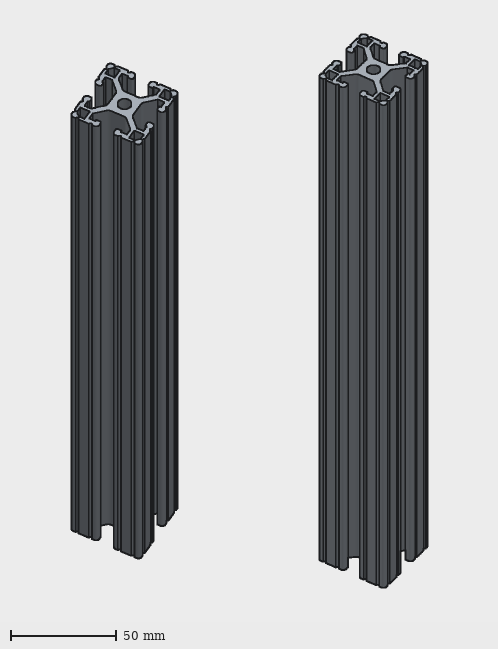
import cadquery as cq

side = 38.1
length = 304.8
half_side = side / 2
corner_radius = 1.75

bore_diameter = 6.65
core_half = 6.9

slot_mouth_half = 4.06
slot_inner_half = 10.25
lip_half = 6.9
lip_thickness = 3.9
lip_inner_radius = 0.8
flange_thickness = 3.0
lip_inner_height = half_side - lip_thickness
flange_inner_height = half_side - flange_thickness
web_half_thickness = 1.6
web_root_radius = 2.7
web_offset = web_half_thickness * 2 ** 0.5

cavity_inner = 12.15
cavity_outer = 17.3
cavity_chamfer = 2.0

groove_centres = (7.9, 15.25)
groove_radius = 0.8

face_angles = (0, 90, 180, 270)


def make_bar():
    """Plain square bar standing on the XY plane."""
    return cq.Workplane("XY").rect(side, side).extrude(length)


def round_edge(body, x, y, radius):
    """Round the lengthwise edge at (x, y) and its mirror images about both axes."""
    for sign_x in (1, -1):
        for sign_y in (1, -1):
            nearest = cq.selectors.NearestToPointSelector((sign_x * x, sign_y * y, length / 2))
            body = body.edges("|Z").edges(nearest).fillet(radius)
    return body


def round_lips(body):
    """Round the outer and inner edges of every slot lip."""
    for height, radius in ((half_side, corner_radius), (lip_inner_height, lip_inner_radius)):
        body = round_edge(body, slot_mouth_half, height, radius)
        body = round_edge(body, height, slot_mouth_half, radius)
    return body


def make_slot():
    """T-slot opening on the +Y face, with its sides following the diagonal webs."""
    right_half = [
        (core_half - web_offset, core_half),
        (slot_inner_half, slot_inner_half + web_offset),
        (slot_inner_half, flange_inner_height),
        (lip_half, flange_inner_height),
        (lip_half, lip_inner_height),
        (slot_mouth_half, lip_inner_height),
        (slot_mouth_half, half_side),
    ]
    left_half = [(-x, y) for x, y in reversed(right_half)]
    slot = cq.Workplane("XY").polyline(right_half + left_half).close().extrude(length)
    return slot.faces("<Y").edges("|Z").fillet(web_root_radius)


def make_cavity():
    """Square hollow in the +X +Y corner, chamfered towards the outer corner."""
    outline = [
        (cavity_inner, cavity_inner),
        (cavity_outer, cavity_inner),
        (cavity_outer, cavity_outer - cavity_chamfer),
        (cavity_outer - cavity_chamfer, cavity_outer),
        (cavity_inner, cavity_outer),
    ]
    return cq.Workplane("XY").polyline(outline).close().extrude(length)


def make_groove(centre):
    """Half-round groove in the +Y face."""
    return cq.Workplane("XY").center(centre, half_side).circle(groove_radius).extrude(length)


def cut_all_round(body, cutter):
    """Cut the same shape from all four sides of the bar."""
    for angle in face_angles:
        body = body.cut(cutter.rotate((0, 0, 0), (0, 0, 1), angle))
    return body


result = make_bar()
result = cut_all_round(result, make_slot())
result = round_edge(result, half_side, half_side, corner_radius)
result = round_lips(result)
result = cut_all_round(result, make_cavity())
for centre in groove_centres:
    result = cut_all_round(result, make_groove(centre))
    result = cut_all_round(result, make_groove(-centre))
result = result.faces(">Z").workplane().hole(bore_diameter)